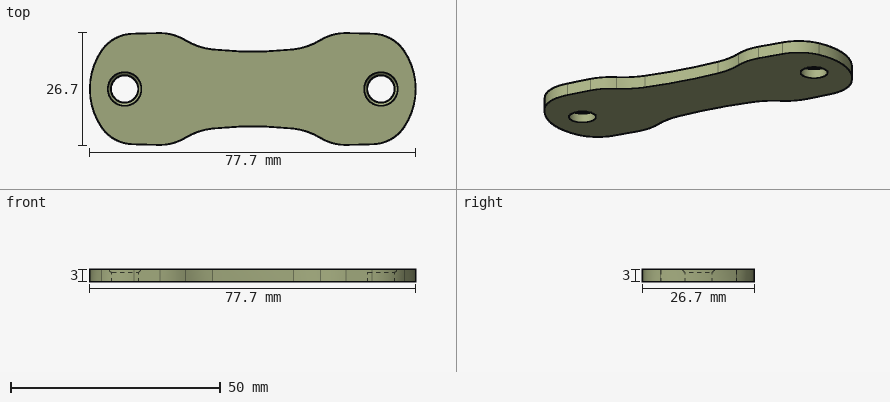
import cadquery as cq
import math

length = 77.7
width = 26.7
thickness = 3.0

end_radius = 16.3
corner_radius = 9.3
crown_radius = 11.65
neck_radius = 15.55
waist_radius = 89.4

flat_half_width = 13.2
crown_x = 22.15
waist_half_width = 8.9

hole_spacing = 61.1
hole_diameter = 6.45
countersink_diameter = 8.0
countersink_angle = 90


def along(start, end, distance):
    """Point at a signed distance from start, on the line towards end."""
    ratio = distance / math.dist(start, end)
    return (start[0] + ratio * (end[0] - start[0]), start[1] + ratio * (end[1] - start[1]))


def arc_middle(center, start, end):
    """Middle of the short arc between two points on a circle."""
    chord_middle = ((start[0] + end[0]) / 2, (start[1] + end[1]) / 2)
    return along(center, chord_middle, math.dist(center, start))


def neck_center_from(crown_center, waist_center):
    """Center of the neck arc, outside the crown circle and inside the waist circle."""
    to_crown = crown_radius + neck_radius
    to_waist = waist_radius - neck_radius
    spacing = math.dist(crown_center, waist_center)
    base = (to_crown**2 - to_waist**2 + spacing**2) / (2 * spacing)
    offset = math.sqrt(to_crown**2 - base**2)
    foot = along(crown_center, waist_center, base)
    direction_x = (waist_center[0] - crown_center[0]) / spacing
    direction_y = (waist_center[1] - crown_center[1]) / spacing
    return (foot[0] + offset * direction_y, foot[1] - offset * direction_x)


def quarter_plate():
    """Quarter of the plate with X and Y positive; arcs run tangent to each other."""
    end_center = (length / 2 - end_radius, 0)
    corner_y = flat_half_width - corner_radius
    corner_shift = math.sqrt((end_radius - corner_radius) ** 2 - corner_y**2)
    corner_center = (end_center[0] + corner_shift, corner_y)
    crown_center = (crown_x, width / 2 - crown_radius)
    waist_center = (0, waist_half_width + waist_radius)
    mirrored_neck = neck_center_from((-crown_x, crown_center[1]), waist_center)
    neck_center = (-mirrored_neck[0], mirrored_neck[1])

    end_tip = (length / 2, 0)
    corner_start = along(end_center, corner_center, end_radius)
    corner_end = (corner_center[0], flat_half_width)
    crown_top = (crown_x, width / 2)
    crown_end = along(crown_center, neck_center, crown_radius)
    neck_end = along(waist_center, neck_center, waist_radius)
    waist_middle = (0, waist_half_width)

    return (
        cq.Workplane("XY")
        .lineTo(*end_tip)
        .threePointArc(arc_middle(end_center, end_tip, corner_start), corner_start)
        .threePointArc(arc_middle(corner_center, corner_start, corner_end), corner_end)
        .lineTo(*crown_top)
        .threePointArc(arc_middle(crown_center, crown_top, crown_end), crown_end)
        .threePointArc(arc_middle(neck_center, crown_end, neck_end), neck_end)
        .threePointArc(arc_middle(waist_center, neck_end, waist_middle), waist_middle)
        .close()
        .extrude(thickness)
    )


quarter = quarter_plate()
half = quarter.union(quarter.mirror("XZ"))
plate = half.union(half.mirror("YZ")).clean()

result = (
    plate.faces(">Z")
    .workplane(origin=(0, 0, thickness))
    .pushPoints([(-hole_spacing / 2, 0), (hole_spacing / 2, 0)])
    .cskHole(hole_diameter, countersink_diameter, countersink_angle)
)